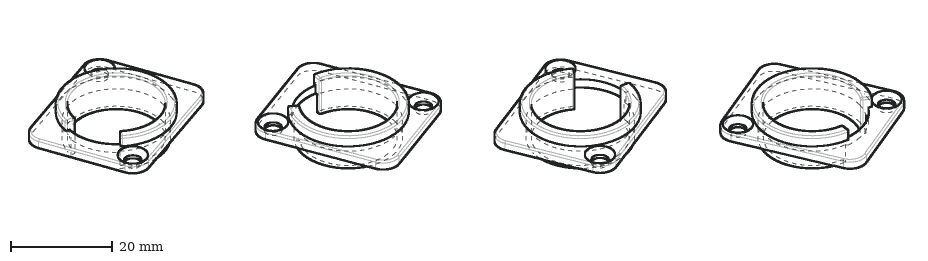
import cadquery as cq
import math

plate_width = 26.0
plate_length = 31.0
plate_thickness = 2.0
corner_radius = 3.5
edge_round = 0.4

bore_radius = 9.7
tube_radius = 10.75
rim_radius = 12.0
rim_height = 2.3
tube_depth = 4.2
gap_half_angle = 30.0
gap_hole_radius = 11.2

screw_x = plate_width / 2 - corner_radius
screw_y = plate_length / 2 - corner_radius
screw_diameter = 3.47
countersink_diameter = 6.0
countersink_angle = 90.0

rim_top = plate_thickness + rim_height


def make_plate():
    plate = (
        cq.Workplane("XY")
        .rect(plate_width, plate_length)
        .extrude(plate_thickness)
        .edges("|Z")
        .fillet(corner_radius)
        .faces(">Z")
        .edges()
        .fillet(edge_round)
    )
    opening = cq.Workplane("XY").circle(gap_hole_radius).extrude(plate_thickness)
    return (
        plate.cut(opening)
        .faces(">Z")
        .workplane(origin=(0, 0, plate_thickness))
        .pushPoints([(-screw_x, screw_y), (screw_x, -screw_y)])
        .cskHole(screw_diameter, countersink_diameter, countersink_angle)
    )


def make_collar():
    """Revolve the stepped wall around Z, leaving a gap centred on -Y."""
    wall = [
        (bore_radius, -tube_depth),
        (tube_radius, -tube_depth),
        (tube_radius, 0),
        (rim_radius, 0),
        (rim_radius, rim_top),
        (bore_radius, rim_top),
    ]
    collar = (
        cq.Workplane("XZ")
        .polyline(wall)
        .close()
        .revolve(360 - 2 * gap_half_angle, (0, 0, 0), (0, 1, 0))
        .rotate((0, 0, 0), (0, 0, 1), gap_half_angle - 90)
    )

    def end_edge(radius, side, height):
        angle = math.radians(gap_half_angle)
        return (side * radius * math.sin(angle), -radius * math.cos(angle), height)

    upright_edges = cq.Workplane("XY")
    for side in (-1, 1):
        inner = end_edge(bore_radius, side, (rim_top - tube_depth) / 2)
        outer = end_edge(rim_radius, side, rim_top / 2)
        for point in (inner, outer):
            nearest = collar.edges("|Z").edges(cq.selectors.NearestToPointSelector(point))
            upright_edges = upright_edges.add(nearest.vals())
    rounded = collar.newObject([collar.val().fillet(edge_round, upright_edges.vals())])
    return rounded.faces(">Z").edges().fillet(edge_round)


result = make_plate().union(make_collar())